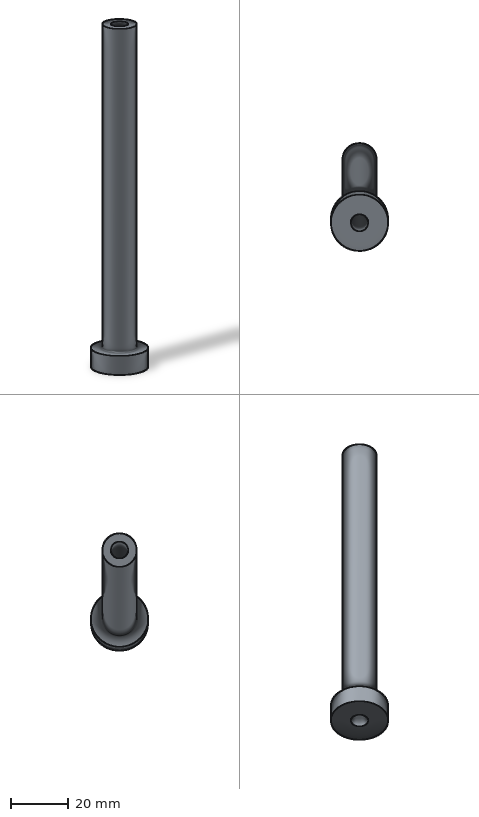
import cadquery as cq

total_length = 125.0
head_diameter = 20.0
head_height = 7.0
shank_diameter = 12.0
bore_diameter = 6.0
neck_fillet = 0.5

head = cq.Workplane("XY").circle(head_diameter / 2).extrude(head_height)
shank = cq.Workplane("XY").circle(shank_diameter / 2).extrude(total_length)
sleeve = head.union(shank)

neck_edge = cq.selectors.RadiusNthSelector(0)
sleeve = sleeve.faces("<Z[1]").edges(neck_edge).fillet(neck_fillet)

bore = cq.Workplane("XY").circle(bore_diameter / 2).extrude(total_length)
result = sleeve.cut(bore)